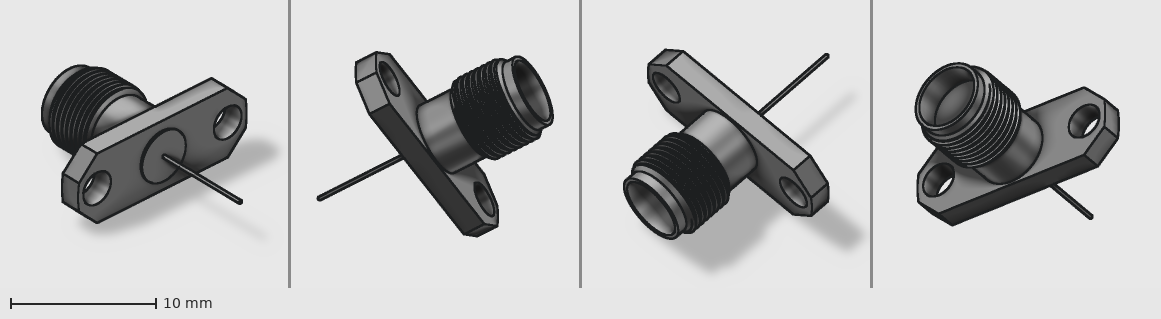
import cadquery as cq

total_length = 17.45
thread_start = 0.8
thread_end = 5.03
flange_front = 7.78
flange_back = 9.44
boss_back = 9.6

barrel_radius = 2.62
bore_radius = 2.3
bore_depth = 1.88
boss_radius = 2.05
pin_radius = 0.14
pin_chamfer = 0.07

thread_pitch = 0.459
thread_root_radius = 2.88
thread_crest_radius = 3.09
thread_base_width = 0.33
thread_crest_width = 0.07
thread_overlap = 0.05
first_crest = 0.87

flange_half_length = 7.89
flange_half_height = 2.86
hole_offset = 6.1
hole_radius = 1.3


def cylinder(start, end, radius):
    """Solid cylinder on the X axis between two axial positions."""
    return cq.Workplane("YZ", origin=(start, 0, 0)).circle(radius).extrude(end - start)


def chamfered_sleeve(radius):
    """Thread length turned to a radius, with 45 degree ends down to the barrel."""
    end_chamfer = radius - barrel_radius
    return (
        cq.Workplane("XY")
        .moveTo(thread_start, 0)
        .lineTo(thread_start, barrel_radius)
        .lineTo(thread_start + end_chamfer, radius)
        .lineTo(thread_end - end_chamfer, radius)
        .lineTo(thread_end, barrel_radius)
        .lineTo(thread_end, 0)
        .close()
        .revolve(360, (0, 0, 0), (1, 0, 0))
    )


def thread_ridge():
    """Right-handed helical ridge, trimmed by the chamfered ends of the thread."""
    helix_length = thread_end - first_crest
    helix = cq.Wire.makeHelix(thread_pitch, helix_length, thread_root_radius)
    base_radius = thread_root_radius - thread_overlap
    ridge = (
        cq.Workplane("XZ")
        .moveTo(base_radius, -thread_base_width / 2)
        .lineTo(thread_crest_radius, -thread_crest_width / 2)
        .lineTo(thread_crest_radius, thread_crest_width / 2)
        .lineTo(base_radius, thread_base_width / 2)
        .close()
        .sweep(cq.Workplane(obj=helix), isFrenet=True)
        .rotate((0, 0, 0), (0, 1, 0), 90)
        .translate((first_crest, 0, 0))
    )
    return ridge.intersect(chamfered_sleeve(thread_crest_radius + thread_overlap))


def flange():
    """Two-hole flange with 45 degree corners and ends rounded about the axis."""
    thickness = flange_back - flange_front
    plane = cq.Workplane("YZ", origin=(flange_front, 0, 0))
    corner_reach = hole_offset + flange_half_height
    outline = (
        plane.moveTo(hole_offset, flange_half_height)
        .lineTo(corner_reach, 0)
        .lineTo(hole_offset, -flange_half_height)
        .lineTo(-hole_offset, -flange_half_height)
        .lineTo(-corner_reach, 0)
        .lineTo(-hole_offset, flange_half_height)
        .close()
        .extrude(thickness)
    )
    plate = outline.intersect(cylinder(flange_front, flange_back, flange_half_length))
    holes = plane.pushPoints([(-hole_offset, 0), (hole_offset, 0)]).circle(hole_radius).extrude(thickness)
    return plate.cut(holes)


barrel = cylinder(0, flange_front, barrel_radius)
bore = cylinder(0, bore_depth, bore_radius)
rear_boss = cylinder(flange_back, boss_back, boss_radius)
pin = cylinder(boss_back, total_length, pin_radius).faces(">X").chamfer(pin_chamfer)

result = (
    barrel.union(chamfered_sleeve(thread_root_radius))
    .union(thread_ridge())
    .union(flange())
    .union(rear_boss)
    .union(pin)
    .cut(bore)
)